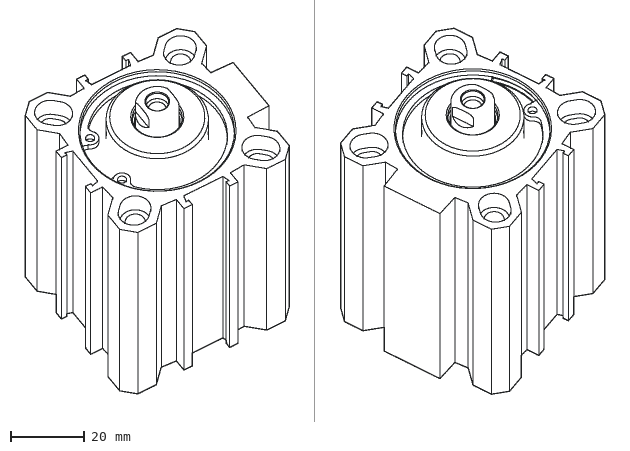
import cadquery as cq
import math

TOTAL_HEIGHT = 82.0
HOUSING_HEIGHT = 69.5
BOSS_TOP = 75.35

WIDTH = 55.0
LENGTH_OVER_PORT_BLOCK = 58.0
HALF_WIDTH = WIDTH / 2
PORT_BLOCK_REACH = LENGTH_OVER_PORT_BLOCK - HALF_WIDTH
PORT_BLOCK_ROOT_HALF = 9.35
PORT_BLOCK_TIP_HALF = 9.1
WALL = 23.4
WALL_AT_LUG = 23.05
LUG_ROOT = 13.45
LUG_FLAT_INNER = LUG_ROOT + HALF_WIDTH - WALL_AT_LUG
LUG_FLAT_OUTER = 23.95

HOOK_REACH = 27.2
HOOK_OUTER = 8.8
HOOK_LIP = 6.1
HOOK_LIP_BASE = 25.4
HOOK_NECK = 7.0
HOOK_ROOT = 6.3

MOUNT_HOLE_CENTRE = 20.5
MOUNT_SLOT_STRETCH = 1.9
MOUNT_HOLE_DIAMETER = 5.5
MOUNT_COUNTERBORE_DIAMETER = 8.5
MOUNT_COUNTERBORE_DEPTH = 6.0

BORE_DIAMETER = 42.2
BORE_CHAMFER = 0.4
RING_GROOVE_DIAMETER = 44.7
RING_INNER_RADIUS = 19.2
RING_DEPTH = 2.1
RING_TOP = HOUSING_HEIGHT - RING_DEPTH
RING_THICKNESS = 1.8
RING_SKEW = -2.0
EAR_ANGLE = 27.7
EAR_CENTRE_RADIUS = 18.4
EAR_RADIUS = 2.4
EAR_FILLET = 2.05
EAR_HOLE_DIAMETER = 2.5
RING_GAP_HALF_ANGLE = EAR_ANGLE - math.degrees(math.asin(EAR_RADIUS / EAR_CENTRE_RADIUS))
EAR_CORNER_COSINE = (RING_INNER_RADIUS**2 + EAR_CENTRE_RADIUS**2 - EAR_RADIUS**2) / (
    2 * RING_INNER_RADIUS * EAR_CENTRE_RADIUS
)
EAR_CORNER_ANGLE = EAR_ANGLE + math.degrees(math.acos(EAR_CORNER_COSINE))

COVER_DIAMETER = 41.7
COVER_TOP = RING_TOP - RING_THICKNESS
COVER_THICKNESS = 16.4
COVER_BOTTOM = COVER_TOP - COVER_THICKNESS
BOSS_DIAMETER = 28.0
BOSS_CHAMFER = 1.0
BOSS_FILLET = 0.8
COVER_BUSH_DIAMETER = 12.55
COVER_MOUTH_DIAMETER = 13.7
COVER_MOUTH_DEPTH = 2.0
COVER_MOUTH_CHAMFER = 0.4

ROD_DIAMETER = 12.0
ROD_TOP_FILLET = 1.2
ROD_FLATS_HALF = 4.9
ROD_FLATS_LENGTH = 4.5
ROD_HOLE_DIAMETER = 4.9
ROD_HOLE_DEPTH = 14.8
ROD_HOLE_TIP_ANGLE = 170.0
ROD_MOUTH_DIAMETER = 6.2
ROD_MOUTH_DEPTH = 2.55
ROD_MOUTH_CHAMFER = 0.25


def cylinder(diameter, bottom, top):
    return cq.Workplane("XY").workplane(offset=bottom).circle(diameter / 2).extrude(top - bottom)


def polar(radius, angle):
    """Point at a radius, with the angle in degrees turned from -Y towards +X."""
    return (radius * math.sin(math.radians(angle)), -radius * math.cos(math.radians(angle)))


def turned(points, quarter_turns):
    for _ in range(quarter_turns):
        points = [(-y, x) for x, y in points]
    return points


def mirrored_pair(half):
    """Complete a side outline from its -X half, mirrored about X = 0."""
    return half + [(-x, y) for x, y in reversed(half)]


def lug_and(side_half):
    """Half of a -Y side: its lug and the wall up to the feature beyond it."""
    lug = [
        (-LUG_FLAT_OUTER, -HALF_WIDTH),
        (-LUG_FLAT_INNER, -HALF_WIDTH),
        (-LUG_ROOT, -WALL_AT_LUG),
    ]
    return lug + side_half


def housing_outline():
    hook = [
        (-HOOK_OUTER, -WALL),
        (-HOOK_OUTER, -HOOK_REACH),
        (-HOOK_LIP, -HOOK_REACH),
        (-HOOK_LIP, -HOOK_LIP_BASE),
        (-HOOK_NECK, -HOOK_LIP_BASE),
        (-HOOK_ROOT, -WALL),
    ]
    port_block = [
        (-PORT_BLOCK_ROOT_HALF, -WALL),
        (-PORT_BLOCK_TIP_HALF, -PORT_BLOCK_REACH),
    ]
    hook_side = mirrored_pair(lug_and(hook))
    port_side = mirrored_pair(lug_and(port_block))
    outline = []
    for quarter_turns, side in enumerate([hook_side, hook_side, port_side, hook_side]):
        outline += turned(side, quarter_turns)
    return outline


def mounting_slot(x_sign, y_sign, diameter, bottom, top):
    return (
        cq.Workplane("XY")
        .workplane(offset=bottom)
        .center(x_sign * MOUNT_HOLE_CENTRE, y_sign * MOUNT_HOLE_CENTRE)
        .slot2D(diameter + MOUNT_SLOT_STRETCH, diameter, 45 * x_sign * y_sign)
        .extrude(top - bottom)
    )


def make_housing():
    housing = cq.Workplane("XY").polyline(housing_outline()).close().extrude(HOUSING_HEIGHT)
    counterbore_floor = HOUSING_HEIGHT - MOUNT_COUNTERBORE_DEPTH
    for x_sign in (-1, 1):
        for y_sign in (-1, 1):
            hole = mounting_slot(x_sign, y_sign, MOUNT_HOLE_DIAMETER, 0, HOUSING_HEIGHT)
            counterbore = mounting_slot(
                x_sign, y_sign, MOUNT_COUNTERBORE_DIAMETER, counterbore_floor, HOUSING_HEIGHT
            )
            housing = housing.cut(hole).cut(counterbore)

    bore = cylinder(BORE_DIAMETER, COVER_BOTTOM, HOUSING_HEIGHT)
    ring_groove = cylinder(RING_GROOVE_DIAMETER, RING_TOP - RING_THICKNESS, RING_TOP)
    mouth_chamfer = cq.Solid.makeCone(
        BORE_DIAMETER / 2,
        BORE_DIAMETER / 2 + BORE_CHAMFER,
        BORE_CHAMFER,
        pnt=cq.Vector(0, 0, HOUSING_HEIGHT - BORE_CHAMFER),
    )
    return housing.cut(bore).cut(ring_groove).cut(mouth_chamfer)


def make_cover():
    """Disc with a boss round the rod, bored through with a wider mouth at the top."""
    boss_radius = BOSS_DIAMETER / 2
    cover_radius = COVER_DIAMETER / 2
    bush_radius = COVER_BUSH_DIAMETER / 2
    mouth_radius = COVER_MOUTH_DIAMETER / 2
    mouth_floor = BOSS_TOP - COVER_MOUTH_DEPTH
    half_section = (
        cq.Workplane("YZ")
        .moveTo(bush_radius, COVER_BOTTOM)
        .lineTo(cover_radius, COVER_BOTTOM)
        .lineTo(cover_radius, COVER_TOP)
        .lineTo(boss_radius + BOSS_FILLET, COVER_TOP)
        .radiusArc((boss_radius, COVER_TOP + BOSS_FILLET), BOSS_FILLET)
        .lineTo(boss_radius, BOSS_TOP - BOSS_CHAMFER)
        .lineTo(boss_radius - BOSS_CHAMFER, BOSS_TOP)
        .lineTo(mouth_radius + COVER_MOUTH_CHAMFER, BOSS_TOP)
        .lineTo(mouth_radius, BOSS_TOP - COVER_MOUTH_CHAMFER)
        .lineTo(mouth_radius, mouth_floor)
        .lineTo(bush_radius, mouth_floor)
        .close()
    )
    return half_section.revolve(360, (0, 0, 0), (0, 1, 0))


def make_ring():
    """Open ring in the bore groove, with a drilled ear at each end."""
    bottom = RING_TOP - RING_THICKNESS
    ring = cylinder(RING_GROOVE_DIAMETER, bottom, RING_TOP)
    ring = ring.cut(cylinder(2 * RING_INNER_RADIUS, bottom, RING_TOP))
    gap_left = polar(RING_GROOVE_DIAMETER, -RING_GAP_HALF_ANGLE)
    gap_right = polar(RING_GROOVE_DIAMETER, RING_GAP_HALF_ANGLE)
    gap = (
        cq.Workplane("XY")
        .workplane(offset=bottom)
        .polyline([(0, 0), gap_left, gap_right])
        .close()
        .extrude(RING_THICKNESS)
    )
    ring = ring.cut(gap)
    ring_middle = bottom + RING_THICKNESS / 2
    for side in (-1, 1):
        x, y = polar(EAR_CENTRE_RADIUS, side * EAR_ANGLE)
        ring = ring.union(cylinder(2 * EAR_RADIUS, bottom, RING_TOP).translate((x, y, 0)))
        corner = polar(RING_INNER_RADIUS, side * EAR_CORNER_ANGLE)
        corner_edge = cq.selectors.NearestToPointSelector((*corner, ring_middle))
        ring = ring.edges("|Z").edges(corner_edge).fillet(EAR_FILLET)
        ring = ring.cut(cylinder(EAR_HOLE_DIAMETER, bottom, RING_TOP).translate((x, y, 0)))
    return ring.rotate((0, 0, 0), (0, 0, 1), RING_SKEW)


def rod_hole():
    """Cutter for a hole with a conical tip, widening by a 45-degree step to a chamfered mouth."""
    hole_radius = ROD_HOLE_DIAMETER / 2
    mouth_radius = ROD_MOUTH_DIAMETER / 2
    mouth_floor = TOTAL_HEIGHT - ROD_MOUTH_DEPTH
    hole_bottom = TOTAL_HEIGHT - ROD_HOLE_DEPTH
    tip = hole_radius / math.tan(math.radians(ROD_HOLE_TIP_ANGLE / 2))
    half_section = [
        (0, TOTAL_HEIGHT),
        (mouth_radius + ROD_MOUTH_CHAMFER, TOTAL_HEIGHT),
        (mouth_radius, TOTAL_HEIGHT - ROD_MOUTH_CHAMFER),
        (mouth_radius, mouth_floor),
        (hole_radius, mouth_floor - (mouth_radius - hole_radius)),
        (hole_radius, hole_bottom),
        (0, hole_bottom - tip),
    ]
    return cq.Workplane("XZ").polyline(half_section).close().revolve(360, (0, 0, 0), (0, 1, 0))


def rod_flat():
    """Cutter for the +Y spanner flat, running out through the rod at 45 degrees."""
    rod_radius = ROD_DIAMETER / 2
    flat_bottom = TOTAL_HEIGHT - ROD_FLATS_LENGTH
    section = [
        (ROD_FLATS_HALF, TOTAL_HEIGHT),
        (ROD_FLATS_HALF, flat_bottom),
        (rod_radius, flat_bottom - (rod_radius - ROD_FLATS_HALF)),
        (rod_radius, TOTAL_HEIGHT),
    ]
    return cq.Workplane("YZ").polyline(section).close().extrude(rod_radius, both=True)


def make_rod():
    rod = cylinder(ROD_DIAMETER, COVER_BOTTOM, TOTAL_HEIGHT)
    rod = rod.faces(">Z").edges().fillet(ROD_TOP_FILLET)
    flat = rod_flat()
    return rod.cut(flat).cut(flat.mirror("XZ")).cut(rod_hole())


housing = make_housing()
cover = make_cover()
ring = make_ring()
rod = make_rod()
result = cq.Compound.makeCompound([housing.val(), cover.val(), ring.val(), rod.val()])